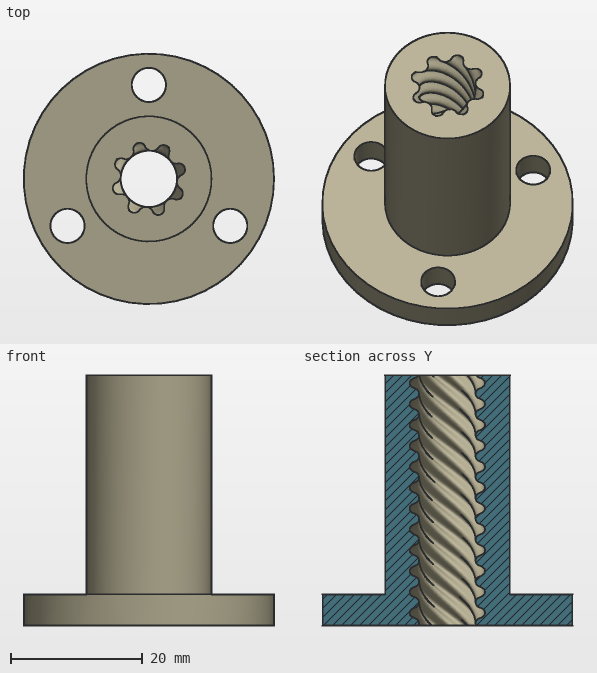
import math

import cadquery as cq

flange_diameter = 38.1
flange_thickness = flange_diameter / 8
barrel_diameter = flange_diameter / 2
total_height = 38.1

hole_count = 3
hole_diameter = 5.16
hole_circle_diameter = (flange_diameter + barrel_diameter) / 2
first_hole_angle = 90.0

start_count = 8
start_pitch_angle = 360.0 / start_count
ridge_crest_radius = 4.27
groove_floor_radius = 5.70
groove_round_radius = 0.93
first_groove_angle = 17.4
thread_lead = 25.4


def polar(radius, angle):
    """Point at a radius and an angle in degrees."""
    turn = math.radians(angle)
    return (radius * math.cos(turn), radius * math.sin(turn))


def make_body():
    flange = cq.Workplane("XY").circle(flange_diameter / 2).extrude(flange_thickness)
    barrel = cq.Workplane("XY").circle(barrel_diameter / 2).extrude(total_height)
    return flange.union(barrel)


def make_mounting_holes():
    return (
        cq.Workplane("XY")
        .polarArray(hole_circle_diameter / 2, first_hole_angle, 360, hole_count)
        .circle(hole_diameter / 2)
        .extrude(flange_thickness)
    )


def tangent_ridge_radius():
    """Ridge arc radius that makes neighbouring groove and ridge arcs tangent.

    The law of cosines between the two arc centres, whose distance is the sum
    of the arc radii, is linear in the ridge radius.
    """
    groove_centre = groove_floor_radius - groove_round_radius
    projected_centre = groove_centre * math.cos(math.radians(start_pitch_angle / 2))
    numerator = (
        groove_round_radius**2
        - groove_centre**2
        - ridge_crest_radius**2
        + 2 * ridge_crest_radius * projected_centre
    )
    return numerator / (2 * (ridge_crest_radius - projected_centre - groove_round_radius))


def make_thread_cutter():
    """Lobed bore outline, twisted along the full height."""
    twist = 360.0 * total_height / thread_lead
    base_angle = first_groove_angle - twist
    half_pitch = start_pitch_angle / 2

    ridge_round_radius = tangent_ridge_radius()
    groove_x, groove_y = polar(groove_floor_radius - groove_round_radius, 0)
    ridge_x, ridge_y = polar(ridge_crest_radius + ridge_round_radius, half_pitch)
    fraction = groove_round_radius / (groove_round_radius + ridge_round_radius)
    meeting_x = groove_x + fraction * (ridge_x - groove_x)
    meeting_y = groove_y + fraction * (ridge_y - groove_y)
    meeting_radius = math.hypot(meeting_x, meeting_y)
    meeting_angle = math.degrees(math.atan2(meeting_y, meeting_x))

    outline = cq.Workplane("XY").moveTo(*polar(meeting_radius, base_angle - meeting_angle))
    for start in range(start_count):
        groove_angle = base_angle + start * start_pitch_angle
        next_groove_angle = groove_angle + start_pitch_angle
        outline = outline.threePointArc(
            polar(groove_floor_radius, groove_angle),
            polar(meeting_radius, groove_angle + meeting_angle),
        ).threePointArc(
            polar(ridge_crest_radius, groove_angle + half_pitch),
            polar(meeting_radius, next_groove_angle - meeting_angle),
        )
    return outline.close().twistExtrude(total_height, twist)


result = make_body().cut(make_mounting_holes()).cut(make_thread_cutter())